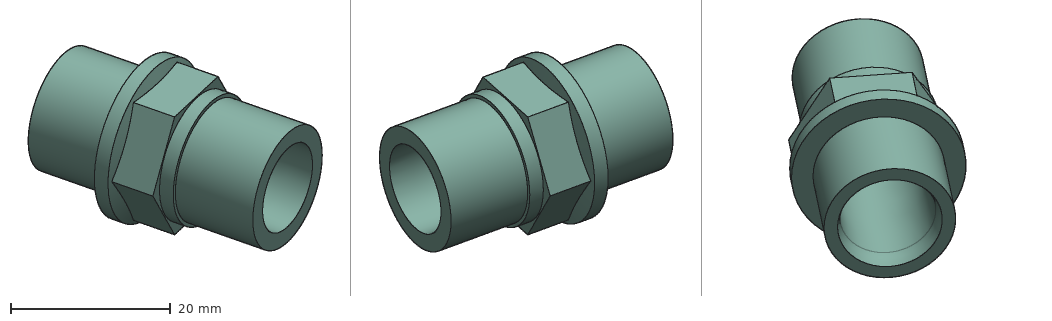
import cadquery as cq
import math

length = 33.0
tube_diameter = 16.6
flange_diameter = 22.0
collar_diameter = 17.6
bore_diameter = 11.9
mouth_diameter = 13.2
mouth_depth = 2.3
throat_diameter = 12.15
hex_across_flats = 18.0
flange_back_angle = 15.0

flange_start = 11.4
flange_width = 2.0
hex_width = 6.2
collar_width = 2.0

left_end = -length / 2
flange_x = left_end + flange_start
hex_x = flange_x + flange_width
collar_x = hex_x + hex_width


def cylinder(start_x, width, diameter):
    return cq.Workplane("YZ", origin=(start_x, 0, 0)).circle(diameter / 2).extrude(width)


def cone(start_x, width, start_diameter, end_diameter):
    start_radius = start_diameter / 2
    end_radius = end_diameter / 2
    solid = cq.Solid.makeCone(start_radius, end_radius, width, cq.Vector(start_x, 0, 0), cq.Vector(1, 0, 0))
    return cq.Workplane(obj=solid)


hex_across_corners = hex_across_flats / math.cos(math.radians(30))
hexagon = cq.Workplane("YZ", origin=(hex_x, 0, 0)).polygon(6, hex_across_corners).extrude(hex_width)

cone_width = (flange_diameter - hex_across_flats) / 2 * math.tan(math.radians(flange_back_angle))
flange_back = cone(hex_x, cone_width, flange_diameter, hex_across_flats)

body = (
    cylinder(left_end, length, tube_diameter)
    .union(cylinder(flange_x, flange_width, flange_diameter))
    .union(hexagon)
    .union(flange_back)
    .union(cylinder(collar_x, collar_width, collar_diameter))
)

mouth_radius = mouth_diameter / 2
throat_radius = throat_diameter / 2
throat_x = left_end + mouth_depth
flare_rise = mouth_radius - throat_radius
flare_radius = (mouth_depth**2 + flare_rise**2) / (2 * flare_rise)
half_flare_angle = math.asin(mouth_depth / flare_radius) / 2
flare_mid_x = throat_x - flare_radius * math.sin(half_flare_angle)
flare_mid_radius = throat_radius + flare_radius * (1 - math.cos(half_flare_angle))

bore = (
    cq.Workplane("XY")
    .moveTo(left_end, 0)
    .lineTo(left_end, mouth_radius)
    .threePointArc((flare_mid_x, flare_mid_radius), (throat_x, throat_radius))
    .lineTo(-left_end, bore_diameter / 2)
    .lineTo(-left_end, 0)
    .close()
    .revolve(360, (0, 0, 0), (1, 0, 0))
)

result = body.cut(bore)